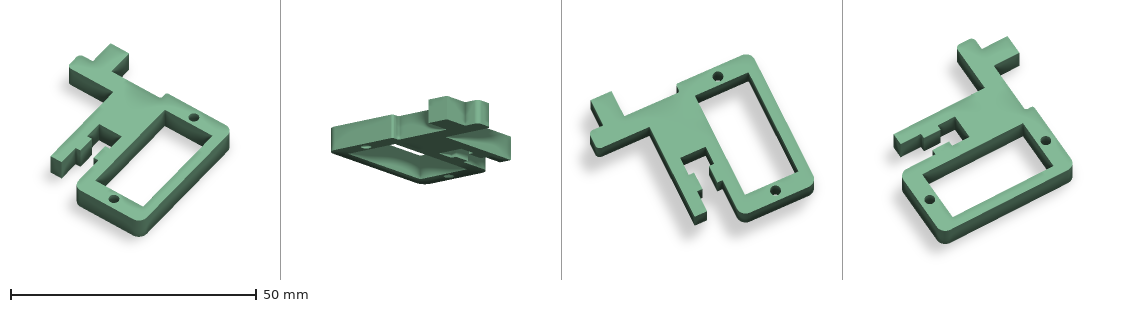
import cadquery as cq

length = 37.5
width = 36.15
thickness = 5.0

frame_left = 20.3
frame_height = 31.95
frame_corner_radius = 2.0
window_left = 23.05
window_width = 12.08
window_height = 24.0
hole_diameter = 2.2
hole_spacing = 27.65

arm_top = 30.05
arm_height = 4.3
arm_corner_radius = 1.0
tab_left = 3.38
tab_width = 4.72
step_x = 20.6
step_radius = 0.5

finger_left = 11.75
finger_width = 2.8
slot_top = 16.9
lug_depth = 1.2
lug_bottom = 8.8
lug_height = 3.98

frame_center_y = frame_height / 2
window_center_x = window_left + window_width / 2
finger_bottom = frame_center_y - window_height / 2
finger_right = finger_left + finger_width
arm_bottom = arm_top - arm_height
lug_top = lug_bottom + lug_height
tab_right = tab_left + tab_width


def plate():
    """Outer outline, including the notched slot, extruded to full thickness."""
    outline = [
        (frame_left, 0),
        (length, 0),
        (length, frame_height),
        (step_x, frame_height),
        (step_x, arm_top),
        (tab_right, arm_top),
        (tab_right, width),
        (tab_left, width),
        (tab_left, arm_top),
        (0, arm_top),
        (0, arm_bottom),
        (finger_left, arm_bottom),
        (finger_left, finger_bottom),
        (finger_right, finger_bottom),
        (finger_right, lug_bottom),
        (finger_right + lug_depth, lug_bottom),
        (finger_right + lug_depth, lug_top),
        (finger_right, lug_top),
        (finger_right, slot_top),
        (frame_left, slot_top),
        (frame_left, lug_top),
        (frame_left - lug_depth, lug_top),
        (frame_left - lug_depth, lug_bottom),
        (frame_left, lug_bottom),
    ]
    return cq.Workplane("XY").polyline(outline).close().extrude(thickness)


def round_corners(body, corners, radius):
    """Fillet the vertical edges that stand at the given corners."""
    for x, y in corners:
        edge = cq.selectors.NearestToPointSelector((x, y, thickness / 2))
        body = body.edges("|Z").edges(edge).fillet(radius)
    return body


def window():
    return (
        cq.Workplane("XY")
        .center(window_center_x, frame_center_y)
        .rect(window_width, window_height)
        .extrude(thickness)
    )


def screw_holes():
    return (
        cq.Workplane("XY")
        .center(window_center_x, frame_center_y)
        .pushPoints([(0, -hole_spacing / 2), (0, hole_spacing / 2)])
        .circle(hole_diameter / 2)
        .extrude(thickness)
    )


frame_corners = [(frame_left, 0), (length, 0), (length, frame_height)]
arm_corners = [(0, arm_top), (0, arm_bottom)]
step_corners = [(step_x, frame_height), (step_x, arm_top)]

body = plate()
body = round_corners(body, frame_corners, frame_corner_radius)
body = round_corners(body, arm_corners, arm_corner_radius)
body = round_corners(body, step_corners, step_radius)
result = body.cut(window()).cut(screw_holes())